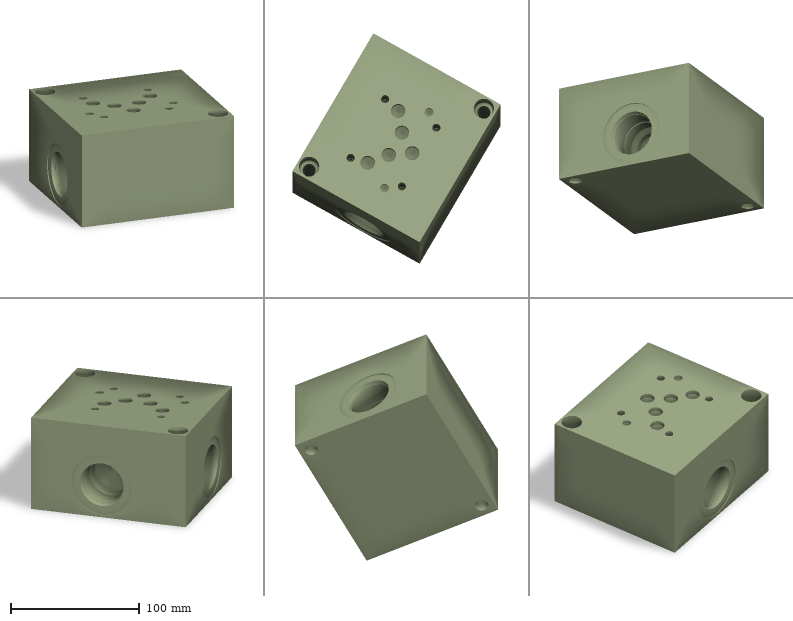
import cadquery as cq
import math

LENGTH_X = 114.3
LENGTH_Y = 127.0
HEIGHT = 76.2

MOUNT_INSET = 9.5
MOUNT_DIAMETER = 10.3
MOUNT_BORE_DIAMETER = 15.9
MOUNT_BORE_DEPTH = 12.7

VALVE_Y = -4.7
DRILL_POINT_ANGLE = 118.0
BOLT_X = 23.0
BOLT_SPREAD = 27.0
BOLT_DRILL_DIAMETER = 5.1
BOLT_THREAD_DIAMETER = 6.4
BOLT_THREAD_DEPTH = 15.2
BOLT_DRILL_DEPTH = 19.0
FLOW_DIAMETER = 11.2
FLOW_DEPTH = 3.3
PRESSURE_X = 16.8
WORK_X = 1.7
WORK_SPREAD = 10.3
TANK_X = -9.5
TANK_SPREAD = 23.9
PILOT_DIAMETER = 6.7
PILOT_DEPTH = 2.0
PILOT_X = 12.0
PILOT_SPREAD = 34.9

PORT_HEIGHT = 26.9
PORT_A_Y = 5.6
PORT_B_X = 6.4
SPOTFACE_DIAMETER = 49.1
SPOTFACE_DEPTH = 0.8
SEAL_MOUTH_DIAMETER = 35.5
SEAL_END_DIAMETER = 33.8
SEAL_DEPTH = 4.2
THREAD_DIAMETER = 33.4
THREAD_DEPTH = 20.1
THREAD_ROOT_DIAMETER = 31.2
PORT_DRILL_DIAMETER = 28.6
THREAD_ROOT_DEPTH = 30.5
PORT_SEAT_DEPTH = 0.6
PORT_A_PASSAGE_DIAMETER = 11.2
PORT_B_PASSAGE_DIAMETER = 23.0
PASSAGE_LENGTH = 5.1


def point_length(diameter, end_diameter=0.0):
    """Axial length of a drill point narrowing from one diameter to another."""
    return (diameter - end_diameter) / 2 / math.tan(math.radians(DRILL_POINT_ANGLE / 2))


def bore(steps):
    """Round cutter entering at Z = 0 and going down, from (diameter, depth) pairs."""
    outline = [(0, 0)]
    outline += [(diameter / 2, -depth) for diameter, depth in steps]
    tip_diameter, tip_depth = steps[-1]
    outline.append((0, -tip_depth - point_length(tip_diameter)))
    return cq.Workplane("XZ").polyline(outline).close().revolve(360, (0, 0), (0, 1))


def side_port(passage_diameter):
    """Spotfaced, threaded port with a narrower passage at its end."""
    seat_end = THREAD_ROOT_DEPTH + PORT_SEAT_DEPTH
    passage_start = seat_end + point_length(PORT_DRILL_DIAMETER, passage_diameter)
    return bore([
        (SPOTFACE_DIAMETER, 0),
        (SPOTFACE_DIAMETER, SPOTFACE_DEPTH),
        (SEAL_MOUTH_DIAMETER, SPOTFACE_DEPTH),
        (SEAL_END_DIAMETER, SEAL_DEPTH),
        (THREAD_DIAMETER, SEAL_DEPTH),
        (THREAD_DIAMETER, THREAD_DEPTH),
        (THREAD_ROOT_DIAMETER, THREAD_DEPTH),
        (THREAD_ROOT_DIAMETER, THREAD_ROOT_DEPTH),
        (PORT_DRILL_DIAMETER, seat_end),
        (passage_diameter, passage_start),
        (passage_diameter, passage_start + PASSAGE_LENGTH),
    ])


def mirrored_about_valve(x, spread):
    """Two places on the top face, either side of the valve centre line."""
    return [(x, VALVE_Y + side * spread) for side in (-1, 1)]


def cut_from_top(body, cutter, places):
    """Sink the same cutter into the top face at each place."""
    for x, y in places:
        body = body.cut(cutter.translate((x, y, HEIGHT)))
    return body


result = cq.Workplane("XY").box(LENGTH_X, LENGTH_Y, HEIGHT, centered=(True, True, False))

mount_x = LENGTH_X / 2 - MOUNT_INSET
mount_y = LENGTH_Y / 2 - MOUNT_INSET
result = (
    result.faces(">Z").workplane(origin=(0, 0, 0))
    .pushPoints([(mount_x, mount_y), (-mount_x, -mount_y)])
    .cboreHole(MOUNT_DIAMETER, MOUNT_BORE_DIAMETER, MOUNT_BORE_DEPTH)
)

bolt_hole = bore([
    (BOLT_THREAD_DIAMETER, 0),
    (BOLT_THREAD_DIAMETER, BOLT_THREAD_DEPTH),
    (BOLT_DRILL_DIAMETER, BOLT_THREAD_DEPTH),
    (BOLT_DRILL_DIAMETER, BOLT_DRILL_DEPTH),
])
for bolt_x in (-BOLT_X, BOLT_X):
    result = cut_from_top(result, bolt_hole, mirrored_about_valve(bolt_x, BOLT_SPREAD))

flow_places = [(PRESSURE_X, VALVE_Y)]
flow_places += mirrored_about_valve(WORK_X, WORK_SPREAD)
flow_places += mirrored_about_valve(TANK_X, TANK_SPREAD)
flow_hole = bore([(FLOW_DIAMETER, 0), (FLOW_DIAMETER, FLOW_DEPTH)])
result = cut_from_top(result, flow_hole, flow_places)

pilot_hole = bore([(PILOT_DIAMETER, 0), (PILOT_DIAMETER, PILOT_DEPTH)])
result = cut_from_top(result, pilot_hole, mirrored_about_valve(PILOT_X, PILOT_SPREAD))

port_a = side_port(PORT_A_PASSAGE_DIAMETER).rotate((0, 0, 0), (0, 1, 0), -90)
port_a = port_a.translate((-LENGTH_X / 2, PORT_A_Y, PORT_HEIGHT))
result = result.cut(port_a)

port_b = side_port(PORT_B_PASSAGE_DIAMETER).rotate((0, 0, 0), (1, 0, 0), 90)
port_b = port_b.translate((PORT_B_X, -LENGTH_Y / 2, PORT_HEIGHT))
result = result.cut(port_b)